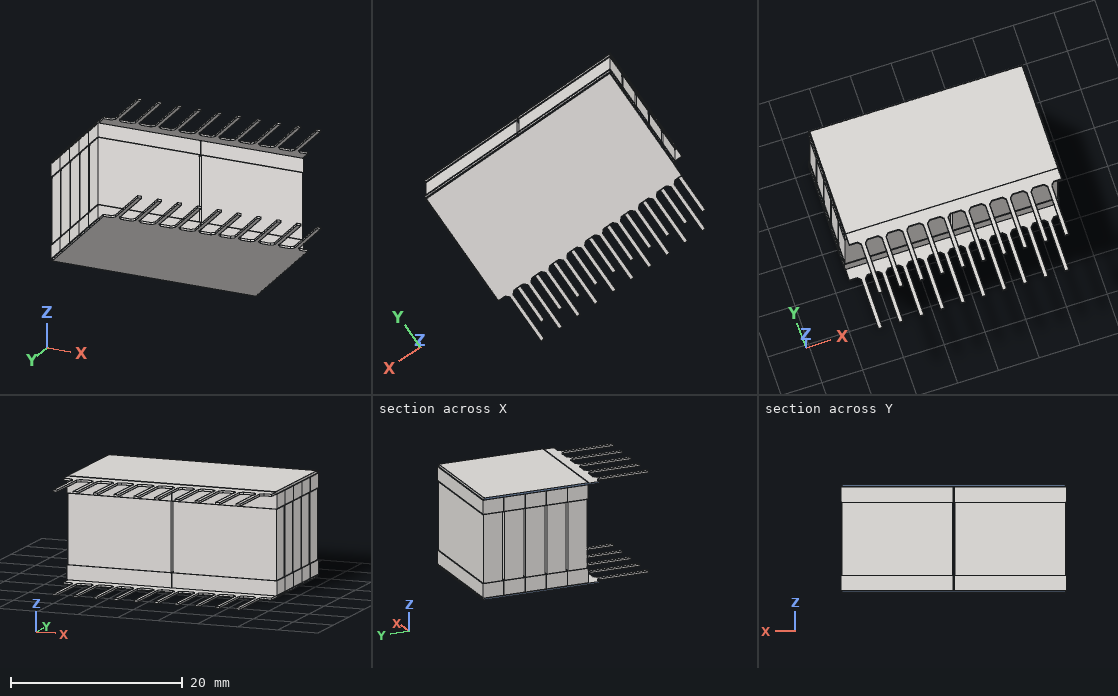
import cadquery as cq

columns = 2
rows = 5
stack_length = 26.28
stack_depth = 13.45
column_gap = 0.08
row_gap = 0.05
chip_length = (stack_length - (columns - 1) * column_gap) / columns
chip_width = (stack_depth - (rows - 1) * row_gap) / rows
column_pitch = chip_length + column_gap
row_pitch = chip_width + row_gap

end_cap_height = 1.8
body_inset = 0.092

total_height = 12.65
total_depth = 21.6
frame_thickness = 0.25
cover_thickness = 0.05
stack_height = total_height - 2 * frame_thickness - cover_thickness
frame_inset = 0.1
frame_overhang = 1.4
frame_length = stack_length - 2 * frame_inset
lead_count = 10
lead_span = 22.86
lead_pitch = lead_span / (lead_count - 1)
lead_width = 0.5
root_flare = 0.37

part_bottom = -total_height / 2
stack_bottom = part_bottom + frame_thickness
stack_top = stack_bottom + stack_height
cover_bottom = stack_top + frame_thickness

stack_back = total_depth / 2
stack_front = stack_back - stack_depth
frame_back = stack_back - frame_inset
strip_front = stack_front - frame_overhang
lead_tip = stack_back - total_depth


def block(length, width, height, x, y, bottom_z):
    """Box centred on (x, y) and standing on bottom_z."""
    solid = cq.Workplane("XY").box(length, width, height, centered=(True, True, False))
    return solid.translate((x, y, bottom_z))


def chip(x, y):
    """One capacitor of the stack centred on (x, y)."""
    body_length = chip_length - 2 * body_inset
    body_width = chip_width - 2 * body_inset
    solid = block(body_length, body_width, stack_height, x, y, stack_bottom)
    for cap_bottom in (stack_bottom, stack_top - end_cap_height):
        solid = solid.union(block(chip_length, chip_width, end_cap_height, x, y, cap_bottom))
    return solid


def cover():
    """Thin sheet on the upper frame, ending flush with the front of the stack."""
    depth = frame_back - stack_front
    centre_y = (frame_back + stack_front) / 2
    return block(frame_length, depth, cover_thickness, 0, centre_y, cover_bottom)


def lead_frame(bottom_z):
    """Flat comb covering the stack, with its leads running toward -Y."""
    half_length = frame_length / 2
    half_lead = lead_width / 2
    root_half = half_lead + root_flare
    root_end = strip_front - root_flare

    points = [(-half_length, frame_back), (-half_length, strip_front)]
    for i in range(lead_count):
        x = (i - (lead_count - 1) / 2) * lead_pitch
        points += [
            (x - root_half, strip_front),
            (x - half_lead, root_end),
            (x - half_lead, lead_tip),
            (x + half_lead, lead_tip),
            (x + half_lead, root_end),
            (x + root_half, strip_front),
        ]
    points += [(half_length, strip_front), (half_length, frame_back)]
    outline = cq.Workplane("XY", origin=(0, 0, bottom_z)).polyline(points).close()
    return outline.extrude(frame_thickness)


result = lead_frame(part_bottom).union(lead_frame(stack_top)).union(cover())
for column in range(columns):
    for row in range(rows):
        chip_x = (column - (columns - 1) / 2) * column_pitch
        chip_y = stack_front + chip_width / 2 + row * row_pitch
        result = result.union(chip(chip_x, chip_y))